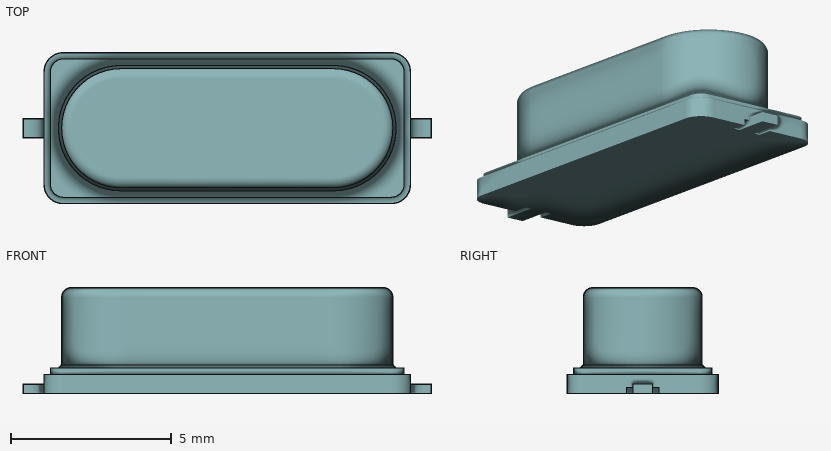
import cadquery as cq

base_length = 11.4
base_width = 4.7
base_height = 0.6
base_corner_radius = 0.6

step_inset = 0.2
step_height = 0.2
step_top = base_height + step_height

can_length = 10.3
can_width = 3.7
overall_height = 3.3
can_top_radius = 0.3

foot_flare = 0.1

overall_length = 12.7
lead_width = 0.6
lead_thickness = 0.3

notch_width = 1.0
notch_height = 0.2
notch_depth = 0.5


def rounded_plate(length, width, height, corner_radius):
    """Plate on Z = 0 with rounded vertical corners."""
    plate = cq.Workplane("XY").rect(length, width).extrude(height)
    return plate.edges("|Z").fillet(corner_radius)


def make_base():
    """Base plate with its inset step."""
    plate = rounded_plate(base_length, base_width, base_height, base_corner_radius)
    step = rounded_plate(
        base_length - 2 * step_inset,
        base_width - 2 * step_inset,
        step_top,
        base_corner_radius - step_inset,
    )
    return plate.union(step)


def make_can():
    """Can with a rounded top edge and a sloping flare at its foot."""
    body = cq.Workplane("XY").slot2D(can_length, can_width).extrude(overall_height)
    body = body.faces(">Z").edges().fillet(can_top_radius)
    flare = (
        cq.Workplane("XY")
        .slot2D(can_length + 2 * foot_flare, can_width + 2 * foot_flare)
        .extrude(step_top + foot_flare)
        .faces(">Z")
        .edges()
        .chamfer(foot_flare)
    )
    return body.union(flare)


def end_block(side, inner_x, outer_x, width, height):
    """Block on Z = 0 between two distances from the centre, on the end given by side."""
    block = cq.Workplane("XY").box(outer_x - inner_x, width, height, centered=(True, True, False))
    return block.translate((side * (inner_x + outer_x) / 2, 0, 0))


def add_lead(body, side):
    """Cut the notch in one end of the base and set the lead in it."""
    inner_x = base_length / 2 - notch_depth
    outer_x = overall_length / 2
    notch = end_block(side, inner_x, outer_x, notch_width, notch_height)
    lead = end_block(side, inner_x, outer_x, lead_width, lead_thickness)
    return body.cut(notch).union(lead)


result = make_base().union(make_can())
for side in (-1, 1):
    result = add_lead(result, side)